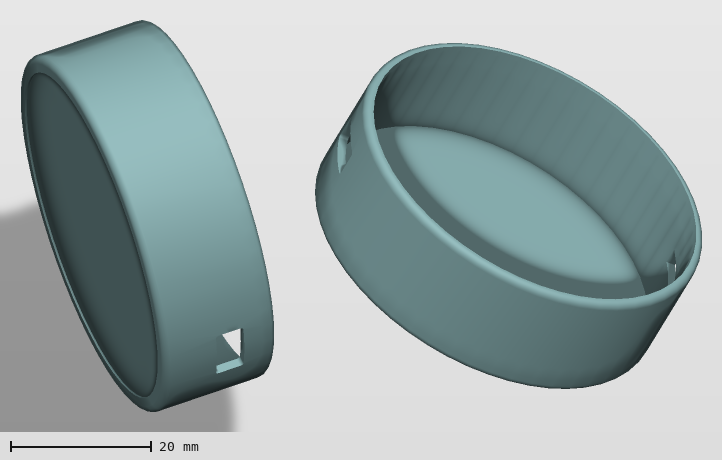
import cadquery as cq

OUTER_DIAMETER = 53.5
INNER_DIAMETER = 50.9
DEPTH = 17.3
FLOOR_THICKNESS = 1.35
RIM_FILLET = 1.0

RECESS_DIAMETER = 48.7
RECESS_DEPTH = 0.3

OPENING_START_Y = -0.55
SLOT_WIDTH = 2.5
SLOT_HEIGHT = 7.8
PORT_WIDTH = 4.2
PORT_HEIGHT = 9.0
PORT_CORNER_RADIUS = 0.5

FRONT_Y = -DEPTH / 2
OUTER_RADIUS = OUTER_DIAMETER / 2


def disc(diameter, start_y, length):
    """Cylinder about the Y axis, growing toward +Y from start_y."""
    plane = cq.Workplane("XZ", origin=(0, start_y, 0))
    return plane.circle(diameter / 2).extrude(-length)


def side_cutter(width, height, direction):
    """Block that crosses the wall on one X side, centred in Z."""
    block = cq.Workplane("XY").box(OUTER_RADIUS, width, height)
    return block.translate((direction * OUTER_RADIUS, OPENING_START_Y + width / 2, 0))


def cap_body():
    body = disc(OUTER_DIAMETER, FRONT_Y, DEPTH).edges().fillet(RIM_FILLET)
    cavity = disc(INNER_DIAMETER, FRONT_Y + FLOOR_THICKNESS, DEPTH)
    recess = disc(RECESS_DIAMETER, FRONT_Y, RECESS_DEPTH)
    return body.cut(cavity).cut(recess)


slot = side_cutter(SLOT_WIDTH, SLOT_HEIGHT, -1)
port = side_cutter(PORT_WIDTH, PORT_HEIGHT, 1).edges("|X").fillet(PORT_CORNER_RADIUS)

result = cap_body().cut(slot).cut(port)